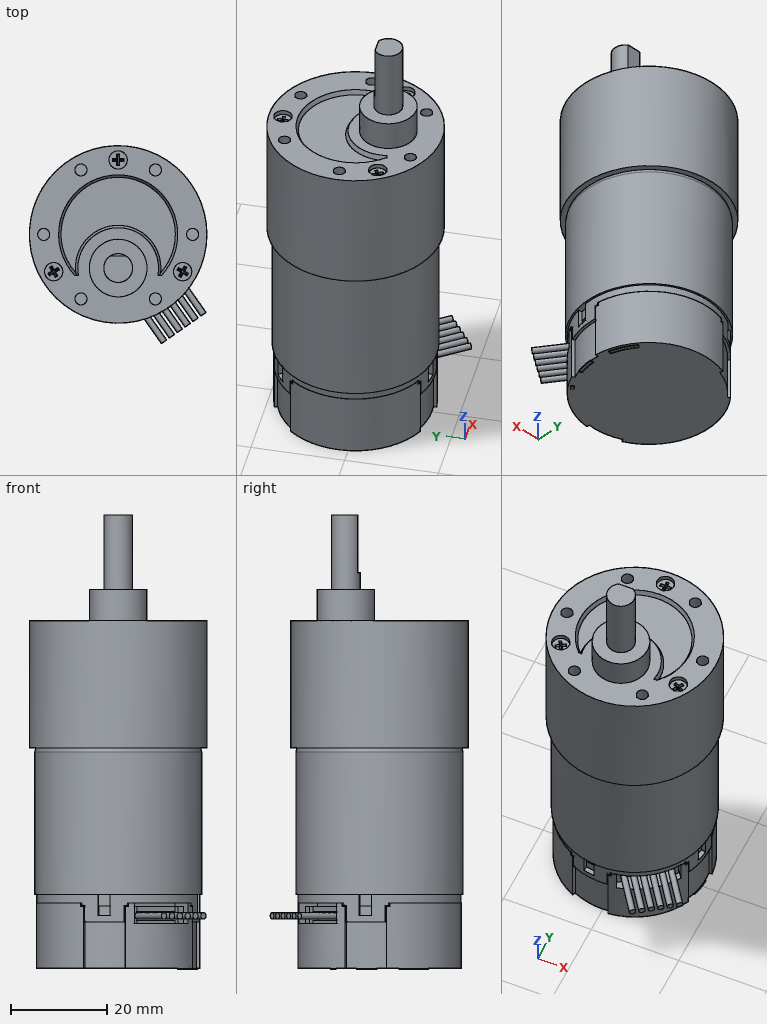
import cadquery as cq
import math


gearbox_diameter = 37.0
gearbox_length = 26.5

shaft_offset = 7.0
boss_diameter = 12.0
boss_height = 6.5
shaft_diameter = 6.0
shaft_top = 22.0
shaft_flat_length = 12.0
shaft_flat_depth = 0.5

bolt_circle_radius = 15.5
mounting_hole_diameter = 2.5
mounting_hole_depth = 4.0
mounting_hole_count = 6
screw_recess_diameter = 3.8
screw_recess_depth = 1.0
screw_count = 3
screw_cross_length = 2.4
screw_cross_width = 0.6
screw_cross_depth = 0.6
screw_cross_taper = 15.0

crescent_outer_radius = 12.4
crescent_inner_radius = 8.4
crescent_depth = 1.0
crescent_wall_slope = 0.5
crescent_tip_y = -8.6

can_diameter = 34.8
can_bottom = -57.0
neck_diameter = 34.4
neck_length = 0.8

base_radius = 17.0
recess_radius = 16.35
tongue_bottom = -62.7
cap_radius = 17.05
cap_top = -58.75
cap_bottom = -72.4
recess_angle = 30.0
shoulder_angle = 2.4
shoulder_height = 0.8
seam_angle = 0.8
seam_height = 0.25
outer_clearance = 1.0

window_width = 2.6
window_depth = 1.1
window_bottom = -61.4
latch_bottom = -59.4
latch_thickness = 0.1

connector_direction = -55.0
tongue_directions = [connector_direction + turn for turn in (-45.0, 45.0, 180.0)]
opening_width = 13.6
opening_bottom = -63.1
opening_floor_distance = 11.0
connector_width = 13.2
connector_end_distance = 14.2
connector_face_distance = 13.2
connector_top = -59.5
socket_width = 10.4
socket_floor_distance = 12.0
socket_top = -60.5
socket_bottom = -62.4
wire_count = 6
wire_pitch = 2.0
wire_diameter = 1.35
wire_end_distance = 23.8
wire_height = -61.45

mark_height = 0.2
mark_width = 0.8
mark_outer_radius = 16.5
mark_spans = [(-38.0, -35.0), (-17.0, -2.0), (15.0, 38.0)]


def cylinder(radius, bottom, top, x=0.0, y=0.0):
    return cq.Workplane("XY", origin=(x, y, bottom)).circle(radius).extrude(top - bottom)


def block(x_range, width, z_range, direction=0.0):
    """Box with its near and far faces at x_range, centred on Y, then turned about Z."""
    x_min, x_max = x_range
    z_min, z_max = z_range
    shape = cq.Workplane("XY", origin=(0, 0, z_min)).center((x_min + x_max) / 2, 0)
    shape = shape.rect(x_max - x_min, width).extrude(z_max - z_min)
    return shape.rotate((0, 0, 0), (0, 0, 1), direction)


def ring_sector(inner_radius, outer_radius, start_angle, end_angle, bottom, top):
    def point(radius, angle):
        return (radius * math.cos(math.radians(angle)), radius * math.sin(math.radians(angle)))

    middle_angle = (start_angle + end_angle) / 2
    return (
        cq.Workplane("XY", origin=(0, 0, bottom))
        .moveTo(*point(inner_radius, start_angle))
        .lineTo(*point(outer_radius, start_angle))
        .threePointArc(point(outer_radius, middle_angle), point(outer_radius, end_angle))
        .lineTo(*point(inner_radius, end_angle))
        .threePointArc(point(inner_radius, middle_angle), point(inner_radius, start_angle))
        .close()
        .extrude(top - bottom)
    )


def cone(bottom_radius, top_radius, bottom, top, y=0.0):
    lower = cq.Workplane("XY", origin=(0, y, bottom)).circle(bottom_radius)
    return lower.workplane(offset=top - bottom).circle(top_radius).loft()


def crescent_pocket():
    outer = cone(crescent_outer_radius - crescent_wall_slope, crescent_outer_radius, -crescent_depth, 0)
    island = cone(crescent_inner_radius + crescent_wall_slope, crescent_inner_radius,
                  -crescent_depth, 0, -shaft_offset)
    tip_limit = block((crescent_tip_y, crescent_outer_radius), 2 * crescent_outer_radius,
                      (-crescent_depth, 0), 90)
    return outer.cut(island).intersect(tip_limit)


def screw_recess(direction):
    recess = cylinder(screw_recess_diameter / 2, -screw_recess_depth, 0, bolt_circle_radius)
    head = cq.Workplane("XY", origin=(bolt_circle_radius, 0, -screw_recess_depth))
    arm = head.rect(screw_cross_length, screw_cross_width)
    arm = arm.extrude(-screw_cross_depth, taper=screw_cross_taper)
    cross_arm = head.rect(screw_cross_width, screw_cross_length)
    cross_arm = cross_arm.extrude(-screw_cross_depth, taper=screw_cross_taper)
    return recess.union(arm).union(cross_arm).rotate((0, 0, 0), (0, 0, 1), direction)


def gearbox():
    body = cylinder(gearbox_diameter / 2, -gearbox_length, 0)
    body = body.cut(crescent_pocket())
    holes = (
        cq.Workplane("XY")
        .polarArray(bolt_circle_radius, 0, 360, mounting_hole_count)
        .circle(mounting_hole_diameter / 2)
        .extrude(-mounting_hole_depth)
    )
    body = body.cut(holes)
    for index in range(screw_count):
        body = body.cut(screw_recess(90 + index * 360 / screw_count))
    return body


def output_shaft():
    boss = cylinder(boss_diameter / 2, 0, boss_height, 0, -shaft_offset)
    shaft = cylinder(shaft_diameter / 2, 0, shaft_top, 0, -shaft_offset)
    shaft_edge_y = shaft_diameter / 2 - shaft_offset
    flat = block((shaft_edge_y - shaft_flat_depth, shaft_edge_y), shaft_diameter,
                 (shaft_top - shaft_flat_length, shaft_top), 90)
    return boss.union(shaft.cut(flat))


def motor_can():
    neck_bottom = -gearbox_length - neck_length
    neck = cone(can_diameter / 2, neck_diameter / 2, neck_bottom, -gearbox_length)
    return cylinder(can_diameter / 2, can_bottom, neck_bottom).union(neck)


def shouldered_sector(direction, side_gap, bottom, shoulder_bottom):
    """Ring sector with wider shoulders at its top; its outer side lies clear of the end cap."""
    outer_radius = cap_radius + outer_clearance
    half_angle = recess_angle / 2 - side_gap
    shoulder_half_angle = half_angle + shoulder_angle
    stem = ring_sector(recess_radius, outer_radius, direction - half_angle, direction + half_angle,
                       bottom, cap_top)
    shoulders = ring_sector(recess_radius, outer_radius, direction - shoulder_half_angle,
                            direction + shoulder_half_angle, shoulder_bottom, cap_top)
    return stem.union(shoulders)


def end_cap():
    cap = cylinder(cap_radius, cap_bottom, cap_top)
    for direction in tongue_directions:
        cap = cap.cut(shouldered_sector(direction, 0, cap_bottom, cap_top - shoulder_height))
    return cap


def encoder_base():
    """Base whose outer layer below the cap top is cut away everywhere but at the tongues."""
    core = cylinder(recess_radius, tongue_bottom, cap_top)
    removed = cylinder(cap_radius, tongue_bottom, cap_top).cut(core)
    shoulder_bottom = cap_top - shoulder_height + seam_height
    for direction in tongue_directions:
        removed = removed.cut(shouldered_sector(direction, seam_angle, tongue_bottom, shoulder_bottom))
    return cylinder(base_radius, tongue_bottom, can_bottom).cut(removed)


def latch_window(direction):
    """Tongue window with a thin latch plate on the upper part of its floor."""
    floor_distance = base_radius - window_depth
    latch_distance = floor_distance + latch_thickness
    upper = block((latch_distance, cap_radius), window_width, (latch_bottom, can_bottom), direction)
    lower = block((floor_distance, cap_radius), window_width, (window_bottom, latch_bottom), direction)
    return upper.union(lower)


def encoder_housing():
    housing = end_cap().union(encoder_base())
    for direction in tongue_directions:
        housing = housing.cut(latch_window(direction))
    opening = block((opening_floor_distance, cap_radius), opening_width,
                    (opening_bottom, cap_top), connector_direction)
    return housing.cut(opening)


def connector():
    plug = block((opening_floor_distance, connector_end_distance), connector_width,
                 (opening_bottom, connector_top), connector_direction)
    set_back_face = block((connector_face_distance, connector_end_distance), socket_width,
                          (opening_bottom, connector_top), connector_direction)
    socket = block((socket_floor_distance, connector_face_distance), socket_width,
                   (socket_bottom, socket_top), connector_direction)
    plug = plug.cut(set_back_face).cut(socket)
    for index in range(wire_count):
        wire_y = (index - (wire_count - 1) / 2) * wire_pitch
        wire = (
            cq.Workplane("YZ", origin=(opening_floor_distance, wire_y, wire_height))
            .circle(wire_diameter / 2)
            .extrude(wire_end_distance - opening_floor_distance)
            .rotate((0, 0, 0), (0, 0, 1), connector_direction)
        )
        plug = plug.union(wire)
    return plug


def end_marks():
    marks = cq.Workplane("XY")
    for start_angle, end_angle in mark_spans:
        mark = ring_sector(mark_outer_radius - mark_width, mark_outer_radius, start_angle, end_angle,
                           cap_bottom - mark_height, cap_bottom)
        marks = marks.add(mark)
    return marks.combine()


result = gearbox().union(output_shaft()).union(motor_can())
result = result.union(encoder_housing()).union(connector()).union(end_marks())